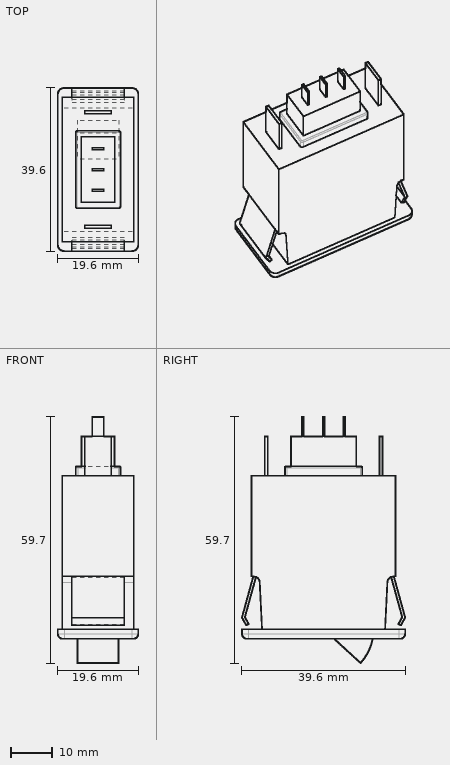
import cadquery as cq
import math


PLATE_X = 19.6
PLATE_Y = 39.65
PLATE_THICK = 2.4
PLATE_CORNER_R = 1.6
PLATE_EDGE_R = 1.3

BODY_X = 17.35
BODY_Y = 35.0
BODY_TOP = 37.25
STEP_Z = 12.8
NECK_Y_TOP = 31.15
NECK_Y_BOTTOM = 29.9
NECK_FILLET = 1.5
SELECT_MARGIN = 0.05

CLIP_WIDTH = 12.8
CLIP_THICK = 0.7
CLIP_ROOT_Y = 17.1
CLIP_BEND_Y = PLATE_Y / 2
CLIP_BEND_Z = 2.8
CLIP_TOE_Y = 18.75
CLIP_TOE_Z = 0.9

COLLAR_X = 10.9
COLLAR_Y = 18.8
COLLAR_HEIGHT = 2.2
COLLAR_CORNER_R = 0.55
COLLAR_EDGE_R = 0.3
TOWER_X = 8.05
TOWER_Y = 15.9
TOWER_HEIGHT = 9.5

BLADE_X = 6.4
BLADE_THICK = 0.8
BLADE_Y = 13.9

PIN_X = 2.85
PIN_THICK = 0.5
PIN_PITCH = 5.0
PIN_HEIGHT = 4.7

TOTAL_HEIGHT = 59.7
ROCKER_X = 9.95
ROCKER_R = 12.2
ROCKER_TIP_Z = BODY_TOP + TOWER_HEIGHT + PIN_HEIGHT - TOTAL_HEIGHT


def block(x_size, y_size, bottom, height, y_center=0):
    """Box centred on X, standing on the level `bottom`."""
    return (
        cq.Workplane("XY", origin=(0, y_center, bottom))
        .rect(x_size, y_size)
        .extrude(height)
    )


def make_plate():
    plate = block(PLATE_X, PLATE_Y, -PLATE_THICK, PLATE_THICK)
    plate = plate.edges("|Z").fillet(PLATE_CORNER_R)
    return plate.faces("<Z").edges().fillet(PLATE_EDGE_R)


def make_body():
    half_block = BODY_Y / 2
    half_top = NECK_Y_TOP / 2
    half_bottom = NECK_Y_BOTTOM / 2
    body = (
        cq.Workplane("YZ")
        .polyline([
            (-half_bottom, 0),
            (half_bottom, 0),
            (half_top, STEP_Z),
            (half_block, STEP_Z),
            (half_block, BODY_TOP),
            (-half_block, BODY_TOP),
            (-half_block, STEP_Z),
            (-half_top, STEP_Z),
        ])
        .close()
        .extrude(BODY_X / 2, both=True)
    )
    step_corners = cq.selectors.BoxSelector(
        (-BODY_X, -half_top - SELECT_MARGIN, STEP_Z - SELECT_MARGIN),
        (BODY_X, half_top + SELECT_MARGIN, STEP_Z + SELECT_MARGIN),
    )
    return body.edges(step_corners).fillet(NECK_FILLET)


def make_clip():
    """Bent strip on the +Y end: a leg leaning outward, then a toe turned back in."""
    lean = math.atan2(CLIP_BEND_Y - CLIP_ROOT_Y, STEP_Z - CLIP_BEND_Z)
    turn = math.atan2(CLIP_BEND_Y - CLIP_TOE_Y, CLIP_BEND_Z - CLIP_TOE_Z)
    mitre_angle = (turn - lean) / 2
    mitre = CLIP_THICK / math.cos((lean + turn) / 2)
    return (
        cq.Workplane("YZ")
        .polyline([
            (CLIP_ROOT_Y, STEP_Z),
            (CLIP_BEND_Y, CLIP_BEND_Z),
            (CLIP_TOE_Y, CLIP_TOE_Z),
            (CLIP_TOE_Y - CLIP_THICK * math.cos(turn), CLIP_TOE_Z + CLIP_THICK * math.sin(turn)),
            (CLIP_BEND_Y - mitre * math.cos(mitre_angle), CLIP_BEND_Z + mitre * math.sin(mitre_angle)),
            (CLIP_ROOT_Y - CLIP_THICK / math.cos(lean), STEP_Z),
        ])
        .close()
        .extrude(CLIP_WIDTH / 2, both=True)
    )


def make_collar():
    collar = block(COLLAR_X, COLLAR_Y, BODY_TOP, COLLAR_HEIGHT)
    collar = collar.edges("|Z").fillet(COLLAR_CORNER_R)
    return collar.faces(">Z").edges().fillet(COLLAR_EDGE_R)


def make_rocker():
    """Sector centred on the origin, from the tip up to the plate's back face."""
    tip_angle = math.asin(ROCKER_TIP_Z / ROCKER_R)
    tip = (ROCKER_R * math.cos(tip_angle), ROCKER_TIP_Z)
    arc_middle = (ROCKER_R * math.cos(tip_angle / 2), ROCKER_R * math.sin(tip_angle / 2))
    return (
        cq.Workplane("YZ")
        .lineTo(*tip)
        .threePointArc(arc_middle, (ROCKER_R, 0))
        .close()
        .extrude(ROCKER_X / 2, both=True)
    )


clip = make_clip()
result = (
    make_plate()
    .union(make_body())
    .union(clip)
    .union(clip.mirror("XZ"))
    .union(make_collar())
    .union(block(TOWER_X, TOWER_Y, BODY_TOP, TOWER_HEIGHT))
    .union(make_rocker())
)

for side in (-1, 1):
    result = result.union(block(BLADE_X, BLADE_THICK, BODY_TOP, TOWER_HEIGHT, side * BLADE_Y))

for step in (-1, 0, 1):
    result = result.union(
        block(PIN_X, PIN_THICK, BODY_TOP + TOWER_HEIGHT, PIN_HEIGHT, step * PIN_PITCH)
    )